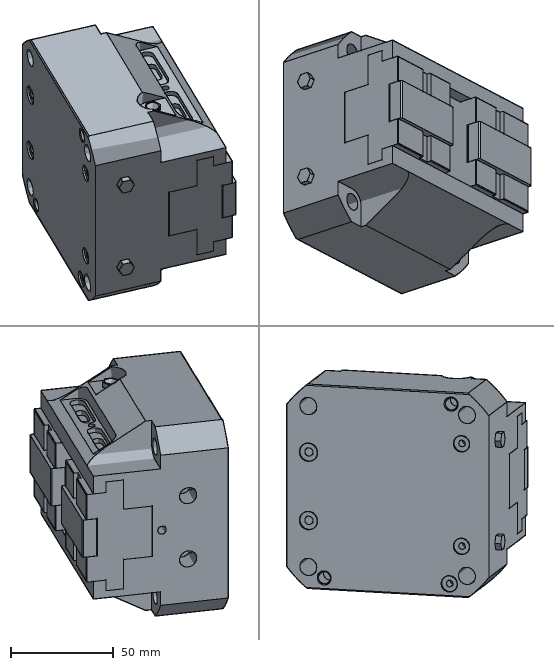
import cadquery as cq
import math


HALF_X = 51.0
HALF_Z = 50.85
TURNED_DIAMETER = 130.0
HOUSING_TOP = 67.8
TOP_HALF_WIDTH = 33.0
SLOPE_FROM_Y = math.radians(30)
SLOPE_START = HOUSING_TOP - (HALF_Z - TOP_HALF_WIDTH) / math.tan(SLOPE_FROM_Y)
BASE_CHAMFER = 0.6

RECESS_FLOOR = 34.0
RECESS_WALL = TOP_HALF_WIDTH
RECESS_FILLET = 7.0
MOUNT_OFFSET = 40.0
MOUNT_DIAMETER = 8.5

DRILL_POINT = math.radians(118)
DOWEL_DIAMETER = 6.0
DOWEL_CHAMFER = 0.5
DOWEL_DEPTH = 10.0
DOWEL_X = 32.0
DOWEL_Z = 45.0
AIR_HOLE_X = -40.0
AIR_Z = 17.0
AIR_HOLE_DIAMETER = 4.13
AIR_SEAT_DIAMETER = 9.0
SEAT_DEPTH = 1.0
PURGE_HOLES = [(37.2, 25.5), (37.2, -25.5), (31.0, -44.5)]
PURGE_DIAMETER = 3.24
PURGE_SEAT_DIAMETER = 8.0
PURGE_DEPTH = 8.0

PORT_DIAMETER = 8.57
PORT_Y = 20.2
PORT_DEPTH = 12.0
VENT_DIAMETER = 4.2
VENT_Y = 33.3
VENT_DEPTH = 8.0

HEX_FLATS = 7.0
HEX_CORNERS = HEX_FLATS / math.cos(math.radians(30))
PLUG_Y = 15.1
PLUG_Z = 25.5
PLUG_HEIGHT = 3.0

SENSOR_HALF_LENGTH = 32.0
SENSOR_Y_LOW = 50.5
SENSOR_Y_HIGH = 63.0
SENSOR_CORNER = 5.0
SLOT_X = 16.6
SLOT_Y = 55.6
OUTER_SLOT = (27.0, 7.4)
OUTER_SLOT_DEPTH = 2.5
INNER_SLOT = (13.0, 5.1)
INNER_SLOT_DEPTH = 5.0
SENSOR_SCREW_DIAMETER = 3.24
SENSOR_SCREW_Y = 55.4
SENSOR_SCREW_DEPTH = 8.0

STUD_X = 24.4
STUD_Y = 39.6
STUD_POCKET_DIAMETER = 15.0
STUD_POCKET_Y_HIGH = 49.0
STUD_HEIGHT = 2.8
STUD_CENTRE_DIAMETER = 6.0

JAW_INNER_X = 10.0
JAW_LENGTH = HALF_X - JAW_INNER_X
JAW_TOP = 71.3
JAW_HALF_WIDTH = 23.5
FLANGE_TOP = 61.4
FLANGE_HALF_WIDTH = 29.2
FLANGE_BOTTOM = 52.6
FOOT_HALF_WIDTH = 13.5
FOOT_BOTTOM = 38.0
JAW_CHAMFER = 0.4
KEY_HALF_WIDTH = 10.0
KEY_BOTTOM = 65.7
KEY_TOP = 73.3
KEY_CHAMFER = 0.6
KEY_SETBACK = 0.1
GROOVE_X = 28.5
GROOVE_WIDTH = 6.0
GROOVE_BOTTOM = 69.0


def slope_z(y):
    """Z of the +Z flank at a given Y."""
    return TOP_HALF_WIDTH + (HOUSING_TOP - y) * math.tan(SLOPE_FROM_Y)


def drill_point(diameter, base, direction):
    """Cone left by a drill tip."""
    height = diameter / 2 / math.tan(DRILL_POINT / 2)
    return cq.Solid.makeCone(diameter / 2, 0, height, base, direction)


def drilled_hole(diameter, depth, mouth, direction):
    """Blind hole tool with a conical drill point; depth is that of the cylindrical part."""
    mouth = cq.Vector(*mouth)
    direction = cq.Vector(*direction)
    bore = cq.Solid.makeCylinder(diameter / 2, depth, mouth, direction)
    point = drill_point(diameter, mouth + direction * depth, direction)
    return cq.Workplane(bore).union(cq.Workplane(point))


def base_cylinder(x, z, diameter, depth):
    """Cylinder rising along +Y from the base face."""
    return cq.Workplane("XZ").center(x, z).circle(diameter / 2).extrude(-depth)


def jaw_profile(top):
    """Stepped T profile in the YZ plane, up to a given Y; the guide slot shares it."""
    right_half = [
        (top, JAW_HALF_WIDTH),
        (FLANGE_TOP, JAW_HALF_WIDTH),
        (FLANGE_TOP, FLANGE_HALF_WIDTH),
        (FLANGE_BOTTOM, FLANGE_HALF_WIDTH),
        (FLANGE_BOTTOM, FOOT_HALF_WIDTH),
        (FOOT_BOTTOM, FOOT_HALF_WIDTH),
    ]
    left_half = [(y, -z) for y, z in reversed(right_half)]
    return cq.Workplane("YZ").polyline(right_half + left_half).close()


def housing_block():
    profile = [
        (0, -HALF_Z),
        (SLOPE_START, -HALF_Z),
        (HOUSING_TOP, -TOP_HALF_WIDTH),
        (HOUSING_TOP, TOP_HALF_WIDTH),
        (SLOPE_START, HALF_Z),
        (0, HALF_Z),
    ]
    block = cq.Workplane("YZ").polyline(profile).close().extrude(HALF_X, both=True)
    block = block.edges("|X and <Y").chamfer(BASE_CHAMFER)
    return block.intersect(base_cylinder(0, 0, TURNED_DIAMETER, HOUSING_TOP))


def corner_recess(x_side, z_side):
    """Open corner above the mounting hole, with a round inner edge."""
    size = HALF_X - RECESS_WALL
    centre = RECESS_WALL + size / 2
    height = HOUSING_TOP - RECESS_FLOOR
    recess = cq.Workplane("XZ", origin=(0, RECESS_FLOOR, 0)).center(x_side * centre, z_side * centre)
    recess = recess.rect(size, size).extrude(-height)
    inner_edge = ("<X" if x_side > 0 else ">X") + " and " + ("<Z" if z_side > 0 else ">Z")
    return recess.edges(inner_edge).fillet(RECESS_FILLET)


def dowel_hole(x, z):
    hole = drilled_hole(DOWEL_DIAMETER, DOWEL_DEPTH, (x, 0, z), (0, 1, 0))
    mouth_radius = DOWEL_DIAMETER / 2 + DOWEL_CHAMFER
    mouth = cq.Solid.makeCone(
        mouth_radius, DOWEL_DIAMETER / 2, DOWEL_CHAMFER, cq.Vector(x, 0, z), cq.Vector(0, 1, 0)
    )
    return hole.union(cq.Workplane(mouth))


def hex_plug(z):
    return cq.Workplane("YZ", origin=(HALF_X, PLUG_Y, z)).polygon(6, HEX_CORNERS).extrude(PLUG_HEIGHT)


def sensor_pocket():
    """Flat-floored pocket with two stepped slots and a screw hole."""
    floor = slope_z(SENSOR_Y_HIGH)
    length_y = SENSOR_Y_HIGH - SENSOR_Y_LOW
    tool = (
        cq.Workplane("XY", origin=(0, (SENSOR_Y_LOW + SENSOR_Y_HIGH) / 2, floor))
        .rect(2 * SENSOR_HALF_LENGTH, length_y)
        .extrude(HALF_Z - floor)
        .edges("|Z and <Y")
        .fillet(SENSOR_CORNER)
    )
    slots = [(OUTER_SLOT, OUTER_SLOT_DEPTH), (INNER_SLOT, INNER_SLOT_DEPTH)]
    for (length, width), depth in slots:
        sketch = cq.Workplane("XY", origin=(0, SLOT_Y, floor)).pushPoints([(-SLOT_X, 0), (SLOT_X, 0)])
        tool = tool.union(sketch.slot2D(length, width).extrude(-depth))
    screw = cq.Workplane("XY", origin=(0, SENSOR_SCREW_Y, floor)).circle(SENSOR_SCREW_DIAMETER / 2)
    return tool.union(screw.extrude(-SENSOR_SCREW_DEPTH))


def stud_pocket():
    """Round-ended, flat-floored pocket around the hexagon stud."""
    floor = slope_z(STUD_POCKET_Y_HIGH)
    radius = STUD_POCKET_DIAMETER / 2
    return (
        cq.Workplane("XY", origin=(STUD_X, STUD_Y, floor))
        .moveTo(-radius, STUD_POCKET_Y_HIGH - STUD_Y)
        .lineTo(-radius, 0)
        .threePointArc((0, -radius), (radius, 0))
        .lineTo(radius, STUD_POCKET_Y_HIGH - STUD_Y)
        .close()
        .extrude(HALF_Z - floor)
    )


def stud():
    """Hexagon stud on its pocket floor, two corners along Y, with a conical centre in its top."""
    floor = slope_z(STUD_POCKET_Y_HIGH)
    hexagon = cq.Workplane("XY", origin=(STUD_X, STUD_Y, floor)).transformed(rotate=(0, 0, 90))
    hexagon = hexagon.polygon(6, HEX_CORNERS).extrude(STUD_HEIGHT)
    mouth = cq.Vector(STUD_X, STUD_Y, floor + STUD_HEIGHT)
    centre = drill_point(STUD_CENTRE_DIAMETER, mouth, cq.Vector(0, 0, -1))
    return hexagon.cut(cq.Workplane(centre))


def build_housing():
    body = housing_block()
    for x_side in (-1, 1):
        for z_side in (-1, 1):
            body = body.cut(corner_recess(x_side, z_side))
            body = body.cut(
                base_cylinder(x_side * MOUNT_OFFSET, z_side * MOUNT_OFFSET, MOUNT_DIAMETER, RECESS_FLOOR)
            )
    body = body.cut(jaw_profile(HOUSING_TOP).extrude(HALF_X, both=True))

    for side in (-1, 1):
        body = body.cut(dowel_hole(side * DOWEL_X, side * DOWEL_Z))
        body = body.cut(drilled_hole(PORT_DIAMETER, PORT_DEPTH, (-HALF_X, PORT_Y, side * AIR_Z), (1, 0, 0)))
        body = body.cut(base_cylinder(AIR_HOLE_X, side * AIR_Z, AIR_HOLE_DIAMETER, PORT_Y))
        body = body.cut(base_cylinder(AIR_HOLE_X, side * AIR_Z, AIR_SEAT_DIAMETER, SEAT_DEPTH))
        body = body.union(hex_plug(side * PLUG_Z))
    for x, z in PURGE_HOLES:
        body = body.cut(drilled_hole(PURGE_DIAMETER, PURGE_DEPTH, (x, 0, z), (0, 1, 0)))
        body = body.cut(base_cylinder(x, z, PURGE_SEAT_DIAMETER, SEAT_DEPTH))
    body = body.cut(drilled_hole(VENT_DIAMETER, VENT_DEPTH, (-HALF_X, VENT_Y, 0), (1, 0, 0)))

    return body.cut(sensor_pocket()).cut(stud_pocket()).union(stud())


def jaw_key():
    """Raised key along the jaw, with chamfered end edges."""
    length = JAW_LENGTH - 2 * KEY_SETBACK
    key = cq.Workplane("XY").box(length, KEY_TOP - KEY_BOTTOM, 2 * KEY_HALF_WIDTH)
    key = key.edges("|Z").chamfer(KEY_CHAMFER)
    return key.translate((JAW_INNER_X + JAW_LENGTH / 2, (KEY_BOTTOM + KEY_TOP) / 2, 0))


def build_jaw():
    """Jaw on the +X side."""
    jaw = jaw_profile(JAW_TOP).extrude(JAW_LENGTH).translate((JAW_INNER_X, 0, 0))
    jaw = jaw.faces(">Y").edges().chamfer(JAW_CHAMFER)
    jaw = jaw.faces("<Y").edges("|Z").chamfer(JAW_CHAMFER)
    groove_height = JAW_TOP - GROOVE_BOTTOM
    groove = cq.Workplane("XY").box(GROOVE_WIDTH, groove_height, 2 * JAW_HALF_WIDTH)
    jaw = jaw.cut(groove.translate((GROOVE_X, GROOVE_BOTTOM + groove_height / 2, 0)))
    key_slot_height = JAW_TOP - KEY_BOTTOM
    key_slot = cq.Workplane("XY").box(JAW_LENGTH, key_slot_height, 2 * KEY_HALF_WIDTH)
    key_slot = key_slot.translate((JAW_INNER_X + JAW_LENGTH / 2, KEY_BOTTOM + key_slot_height / 2, 0))
    return jaw.cut(key_slot).union(jaw_key())


housing = build_housing()
jaw_right = build_jaw()
jaw_left = jaw_right.mirror("YZ")

result = cq.Compound.makeCompound([housing.val(), jaw_right.val(), jaw_left.val()])